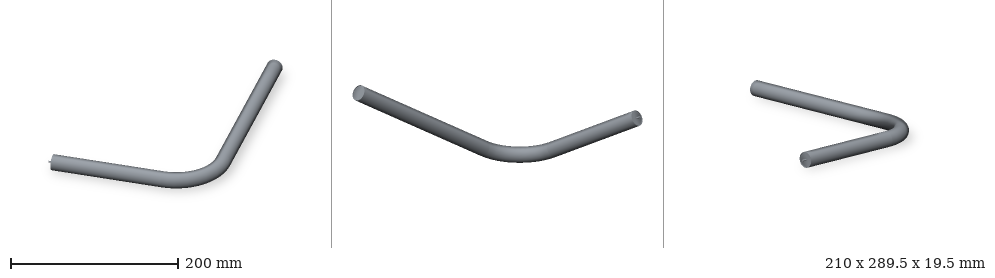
import cadquery as cq

rod_diameter = 19.5
overall_x = 210.0
overall_y = 289.5
bend_radius = 58.2
bend_angle = 90
rim_wall = 0.43
recess_depth = 1.0
pin_diameter = 2.0
pin_stickout = 5.0

rod_radius = rod_diameter / 2
outer_bend_radius = bend_radius + rod_radius
short_leg = overall_x - pin_stickout - outer_bend_radius
long_leg = overall_y - outer_bend_radius
recess_radius = rod_radius - rim_wall

short_leg_end = cq.Plane(origin=(0, 0, 0), xDir=(0, 1, 0), normal=(1, 0, 0))
long_leg_end = cq.Plane(
    origin=(short_leg + bend_radius, bend_radius + long_leg, 0),
    xDir=(1, 0, 0),
    normal=(0, -1, 0),
)


def leg(end_plane, length):
    """Straight round leg, recessed at its free end so that a thin rim stands around the face."""
    recess = cq.Workplane(end_plane).circle(recess_radius).extrude(recess_depth)
    return cq.Workplane(end_plane).circle(rod_radius).extrude(length).cut(recess)


def bend():
    """Quarter-circle elbow turning the rod from +X to +Y."""
    return (
        cq.Workplane("YZ", origin=(short_leg, 0, 0))
        .circle(rod_radius)
        .revolve(bend_angle, (bend_radius, 0, 0), (bend_radius, 1, 0))
    )


def pin():
    """Thin pin on the short leg's axis, from the recess floor out past the rim."""
    return (
        cq.Workplane(short_leg_end)
        .workplane(offset=-pin_stickout)
        .circle(pin_diameter / 2)
        .extrude(pin_stickout + recess_depth)
    )


result = leg(short_leg_end, short_leg).union(bend()).union(leg(long_leg_end, long_leg)).union(pin())